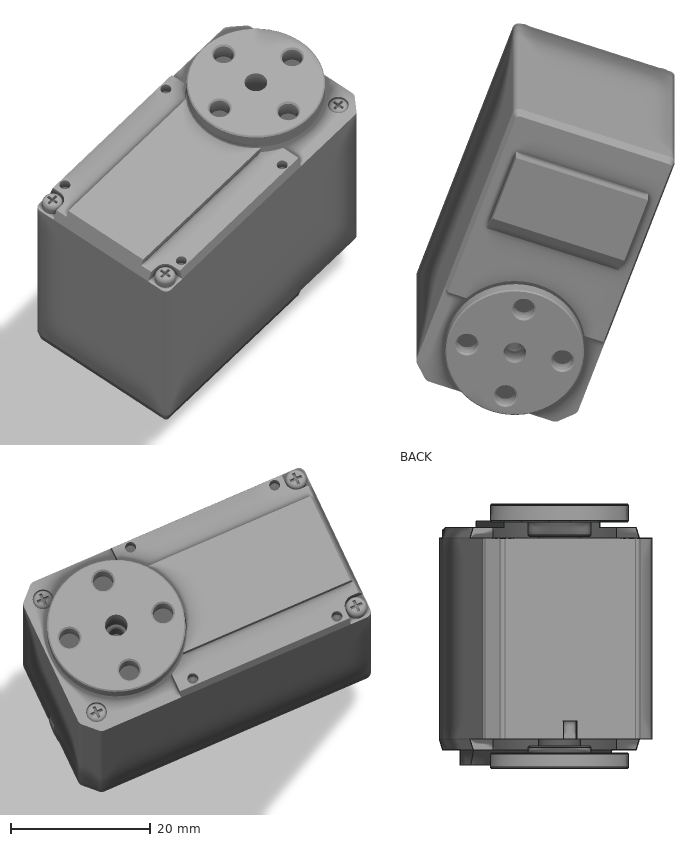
import cadquery as cq
import math


case_turn = 8.6
case_width = 24.6
case_rear = 10.3
case_front = 34.9
case_height = 28.9
rear_chamfer = 2.45
corner_radius = 0.95
half_width = case_width / 2

plate_rear = -4.7
plate_height = 1.55
plate_taper = 17.0
upper_front_slope = 24.0
horn_clearance_radius = 10.15
ridge_half_width = 7.0
ridge_height = 2.5

pin_hole_diameter = 1.6
pin_hole_x = 10.85
pin_hole_rear_y = -7.15
pin_hole_front_y = -29.9

screw_radius = 1.5
screw_collar_height = 0.75
screw_dome_height = 0.7
screw_dome_top_radius = 0.9
screw_height = screw_collar_height + screw_dome_height
cross_span = 1.8
cross_width = 0.45
cross_depth = 0.65
rear_screw_x = 9.3
rear_screw_y = 7.3
front_screw_x = 10.5
front_screw_y = -33.1
screw_clearance = 1.65

pad_half_width = 10.05
pad_drop = 3.75
pad_front = -29.0
pad_rear_top = -16.15
pad_rear_bottom = -18.85

notch_width = 2.0
notch_height = 2.6
notch_depth = 1.0

shaft_radius = 3.0
upper_shaft_height = 0.25
lower_shaft_height = 1.0
thread_diameter = 2.15
thread_chamfer = 0.2
thread_depth = 2.85

horn_diameter = 19.9
upper_horn_thickness = 2.55
lower_horn_thickness = 2.25
horn_chamfer = 0.2
hub_diameter = 9.05
hub_chamfer = 0.2
upper_hub_height = 2.1
lower_hub_height = 0.95
horn_bore = 3.25
mount_hole_diameter = 2.95
mount_hole_chamfer = 0.25
mount_hole_chamfer_angle = 90.0
mount_hole_circle_radius = 7.0
mount_hole_count = 4


def main_block():
    """Plain block: rounded front corners, rounded-off chamfers at the rear."""
    block = (
        cq.Workplane("XY")
        .rect(case_width, case_rear + case_front)
        .extrude(case_height)
        .translate((0, (case_rear - case_front) / 2, 0))
    )
    block = block.edges("|Z and >Y").chamfer(rear_chamfer)
    return block.edges("|Z").fillet(corner_radius)


def box_between(x_min, x_max, y_min, y_max, z_min, z_max):
    return cq.Workplane("XY").box(
        x_max - x_min, y_max - y_min, z_max - z_min, centered=False
    ).translate((x_min, y_min, z_min))


def tapered_cover(height):
    """Drafted plate over the front part of the block, rounded at its front corners."""
    corner = corner_radius * (1 - math.sqrt(0.5))
    arc_x = half_width - corner
    arc_y = -case_front + corner
    straight_x = half_width - corner_radius
    straight_y = -case_front + corner_radius
    plate = (
        cq.Workplane("XY")
        .moveTo(half_width, case_rear)
        .lineTo(half_width, straight_y)
        .threePointArc((arc_x, arc_y), (straight_x, -case_front))
        .lineTo(-straight_x, -case_front)
        .threePointArc((-arc_x, arc_y), (-half_width, straight_y))
        .lineTo(-half_width, case_rear)
        .close()
        .extrude(height, taper=plate_taper)
    )
    rear_part = box_between(-half_width, half_width, plate_rear, case_rear, 0, height)
    horn_clearance = cq.Workplane("XY").circle(horn_clearance_radius).extrude(height)
    return plate.cut(rear_part).cut(horn_clearance)


def screw_notch(side):
    """Rounded corner cut that clears one front screw; side is -1 or 1."""
    screw_x = side * front_screw_x
    x_inner = side * (front_screw_x - screw_clearance)
    x_outer = side * half_width
    y_top = front_screw_y + screw_clearance
    arc_offset = screw_clearance * math.sqrt(0.5)
    return (
        cq.Workplane("XY")
        .moveTo(x_outer, -case_front)
        .lineTo(x_outer, y_top)
        .lineTo(screw_x, y_top)
        .threePointArc(
            (screw_x - side * arc_offset, front_screw_y + arc_offset),
            (x_inner, front_screw_y),
        )
        .lineTo(x_inner, -case_front)
        .close()
        .extrude(plate_height)
    )


def upper_front_wedge():
    """Waste in front of the sloping front face of the upper plate and ridge."""
    setback = ridge_height * math.tan(math.radians(upper_front_slope))
    return (
        cq.Workplane("YZ")
        .polyline([
            (-case_front, 0),
            (-case_front + setback, ridge_height),
            (-case_front, ridge_height),
        ])
        .close()
        .extrude(half_width, both=True)
    )


def upper_cover():
    ridge_zone = box_between(
        -ridge_half_width, ridge_half_width, -case_front, case_rear, 0, ridge_height
    )
    cover = tapered_cover(plate_height)
    for side in (-1, 1):
        cover = cover.cut(screw_notch(side))
    cover = cover.union(tapered_cover(ridge_height).intersect(ridge_zone))
    cover = cover.cut(upper_front_wedge())
    pin_holes = (
        cq.Workplane("XY")
        .pushPoints([
            (side * pin_hole_x, y)
            for side in (-1, 1)
            for y in (pin_hole_rear_y, pin_hole_front_y)
        ])
        .circle(pin_hole_diameter / 2)
        .extrude(plate_height)
    )
    return cover.cut(pin_holes).translate((0, 0, case_height))


def lower_cover():
    pad = (
        cq.Workplane("YZ")
        .polyline([
            (pad_front, -plate_height),
            (pad_rear_top, -plate_height),
            (pad_rear_bottom, -pad_drop),
            (pad_front, -pad_drop),
        ])
        .close()
        .extrude(pad_half_width, both=True)
    )
    return tapered_cover(plate_height).mirror("XY").union(pad)


def screw_head():
    """Domed screw head standing on Z = 0, with a cross recess."""
    bulge_x = screw_dome_top_radius + (screw_radius - screw_dome_top_radius) * math.sqrt(0.5)
    bulge_z = screw_collar_height + screw_dome_height * math.sqrt(0.5)
    head = (
        cq.Workplane("XZ")
        .lineTo(screw_radius, 0)
        .lineTo(screw_radius, screw_collar_height)
        .threePointArc((bulge_x, bulge_z), (screw_dome_top_radius, screw_height))
        .lineTo(0, screw_height)
        .close()
        .revolve(360, (0, 0, 0), (0, 1, 0))
    )
    cross = (
        cq.Workplane("XY", origin=(0, 0, screw_height - cross_depth))
        .rect(cross_span, cross_width)
        .extrude(cross_depth)
    )
    return head.cut(cross).cut(cross.rotate((0, 0, 0), (0, 0, 1), 90))


def rear_notch():
    return box_between(
        -notch_width / 2, notch_width / 2, case_rear - notch_depth, case_rear, 0, notch_height
    )


def shaft(height):
    """Shaft end standing on Z = 0."""
    return cq.Workplane("XY").circle(shaft_radius).extrude(height)


def threaded_hole(depth):
    """Chamfered blind hole going down from Z = 0."""
    radius = thread_diameter / 2
    return (
        cq.Workplane("XZ")
        .lineTo(radius + thread_chamfer, 0)
        .lineTo(radius, -thread_chamfer)
        .lineTo(radius, -depth)
        .lineTo(0, -depth)
        .close()
        .revolve(360, (0, 0, 0), (0, 1, 0))
    )


def make_housing():
    housing = main_block().cut(rear_notch())
    housing = housing.union(upper_cover()).union(lower_cover())

    for side in (-1, 1):
        sunk_place = (side * rear_screw_x, rear_screw_y, case_height - screw_height)
        recess = cq.Workplane("XY").circle(screw_radius).extrude(screw_height)
        housing = housing.cut(recess.translate(sunk_place))
        housing = housing.union(screw_head().translate(sunk_place))
        housing = housing.union(
            screw_head().translate((side * front_screw_x, front_screw_y, case_height))
        )

    upper_end = case_height + upper_shaft_height
    housing = housing.union(shaft(upper_shaft_height).translate((0, 0, case_height)))
    housing = housing.union(shaft(lower_shaft_height).mirror("XY"))
    housing = housing.cut(threaded_hole(thread_depth).translate((0, 0, upper_end)))
    housing = housing.cut(
        threaded_hole(thread_depth).mirror("XY").translate((0, 0, -lower_shaft_height))
    )
    return housing.rotate((0, 0, 0), (0, 0, 1), case_turn)


def make_horn(hub_height, thickness):
    """Round horn with its hub end on Z = 0 and its disc on top."""
    hub = cq.Workplane("XY").circle(hub_diameter / 2).extrude(hub_height)
    hub = hub.faces("<Z").chamfer(hub_chamfer)
    disc = cq.Workplane("XY").circle(horn_diameter / 2).extrude(thickness)
    disc = disc.faces("<Z or >Z").chamfer(horn_chamfer)
    disc = (
        disc.faces(">Z").workplane()
        .polarArray(mount_hole_circle_radius, 0, 360, mount_hole_count)
        .cskHole(
            mount_hole_diameter,
            mount_hole_diameter + 2 * mount_hole_chamfer,
            mount_hole_chamfer_angle,
        )
    )
    horn = disc.translate((0, 0, hub_height)).union(hub)
    return horn.faces(">Z").workplane().hole(horn_bore)


housing = make_housing()
upper_horn = make_horn(upper_hub_height, upper_horn_thickness)
upper_horn = upper_horn.translate((0, 0, case_height + upper_shaft_height))
lower_horn = make_horn(lower_hub_height, lower_horn_thickness).mirror("XY")
lower_horn = lower_horn.translate((0, 0, -lower_shaft_height))

result = cq.Compound.makeCompound([housing.val(), upper_horn.val(), lower_horn.val()])